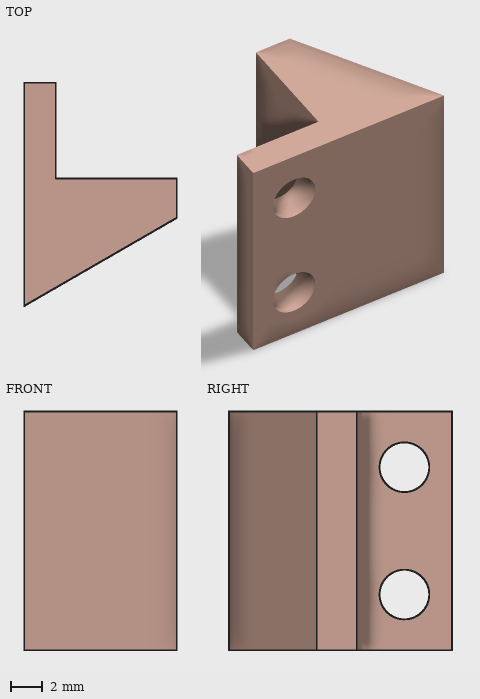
import cadquery as cq
import math

width = 9.58
depth = 14.02
height = 15.0

flange_thickness = 2.0
flange_length = 6.0

slope_angle = 30.0

hole_diameter = 3.1
hole_spacing = 8.0

front_y = -depth / 2
back_y = depth / 2
shoulder_y = back_y - flange_length
slope_end_y = front_y + width * math.tan(math.radians(slope_angle))
left_x = -width / 2
right_x = width / 2
flange_x = left_x + flange_thickness


def make_body():
    """Wedge block with a flange, extruded along Z and centred on the origin."""
    outline = [
        (left_x, front_y),
        (right_x, slope_end_y),
        (right_x, shoulder_y),
        (flange_x, shoulder_y),
        (flange_x, back_y),
        (left_x, back_y),
    ]
    return cq.Workplane("XY").polyline(outline).close().extrude(height / 2, both=True)


def make_holes():
    """Two holes along X, midway along the flange and symmetric about mid-height."""
    hole_y = back_y - flange_length / 2
    centers = [(hole_y, side * hole_spacing / 2) for side in (-1, 1)]
    return (
        cq.Workplane("YZ", origin=(left_x, 0, 0))
        .pushPoints(centers)
        .circle(hole_diameter / 2)
        .extrude(flange_thickness)
    )


result = make_body().cut(make_holes())